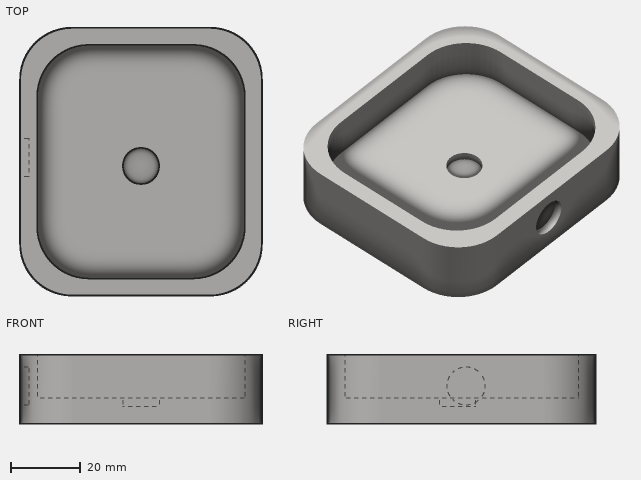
import cadquery as cq

length_x = 70.0
length_y = 77.5
height = 20.0
corner_radius = 15.0

wall = 4.95
floor = 7.5

recess_diameter = 10.5
recess_y = -1.25
recess_depth = 2.5

port_diameter = 11.0
port_y = 1.25
port_z = 11.0
port_depth = 2.5


def rounded_block(size_x, size_y, size_z, base_z):
    """Block with rounded vertical edges, centred on the Z axis."""
    block = cq.Workplane("XY").workplane(offset=base_z).rect(size_x, size_y).extrude(size_z)
    return block.edges("|Z").fillet(corner_radius)


def floor_recess():
    base_z = floor - recess_depth
    plane = cq.Workplane("XY").workplane(offset=base_z).center(0, recess_y)
    return plane.circle(recess_diameter / 2).extrude(recess_depth)


def wall_port():
    plane = cq.Workplane("YZ", origin=(-length_x / 2, port_y, port_z))
    return plane.circle(port_diameter / 2).extrude(port_depth)


body = rounded_block(length_x, length_y, height, 0)
cavity = rounded_block(length_x - 2 * wall, length_y - 2 * wall, height - floor, floor)
result = body.cut(cavity).cut(floor_recess()).cut(wall_port())